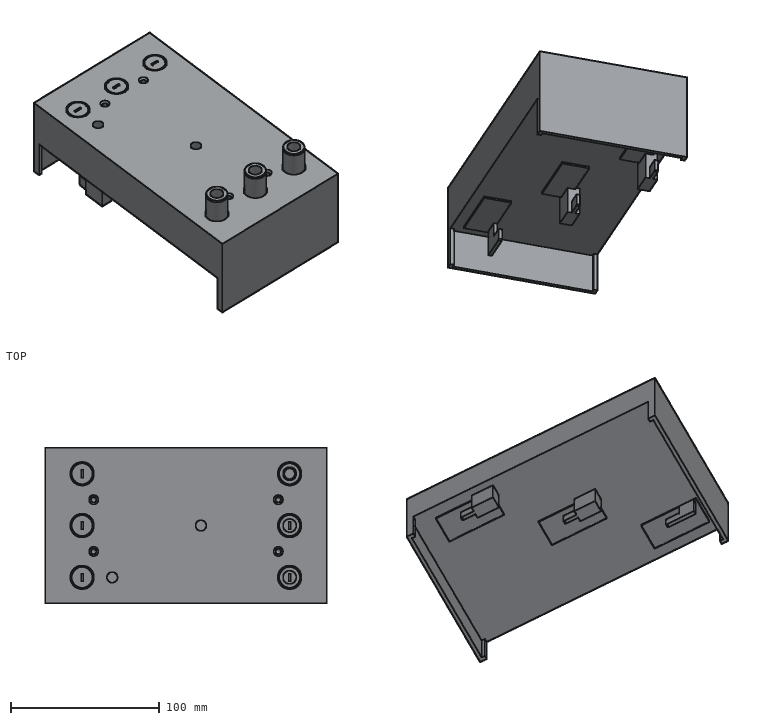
import cadquery as cq

LENGTH = 190.0
WIDTH = 105.0
HEIGHT = 62.7
BODY_THICKNESS = 34.5
UNDERSIDE = HEIGHT - BODY_THICKNESS

END_WALL = 5.1
WALL_RELIEF = 2.5
WALL_RIM = 2.7

ROW_PITCH = 35.0
ROWS = [WIDTH / 2 + step * ROW_PITCH for step in (-1, 0, 1)]
PLUG_X = 24.9
POST_X = 165.0
SEAT_DIAMETER = 16.0
PLUG_DIAMETER = 14.0
POST_DIAMETER = 15.0
GAP_DEPTH = 1.9
POST_HEIGHT = 18.2
POST_TIP_DIAMETER = PLUG_DIAMETER
POST_TIP_HEIGHT = 1.1
POST_BORE = 9.0
SLOT_WIDTH = 1.3
SLOT_LENGTH = 5.1
SLOT_DEPTH = 1.0

SCREW_INSET = 32.7
SCREW_HEAD_DIAMETER = 6.3
SCREW_HOLE_DIAMETER = 3.6
SCREW_HEAD_DEPTH = (SCREW_HEAD_DIAMETER - SCREW_HOLE_DIAMETER) / 2
SCREW_HOLE_DEPTH = 9.5
SCREW_TIP_DEPTH = 1.1

CLAMP_PITCH = 59.8
FIRST_PAD_X = 18.0
PAD_LENGTH = 42.0
FOOT_FROM_ROW = 9.7
PAD_WIDTH = 2 * FOOT_FROM_ROW
PAD_THICKNESS = 1.3
ACCESS_DIAMETER = 7.2
ACCESS_X = POST_X - 2 * CLAMP_PITCH

HOOK_DROP = 20.1
FOOT_HEIGHT = 8.7
FOOT_LENGTH = 10.0
FOOT_CHAMFER = 1.0
FOOT_THICKNESS = 2.5
FIRST_FOOT_X = 37.0
STEM_LENGTHS = (16.3, 16.0, 11.4)
BLOCK_OVERHANG = 3.0


def box(x, y, z, dx, dy, dz):
    """Box with its lowest corner at (x, y, z)."""
    return cq.Workplane("XY").box(dx, dy, dz, centered=False).translate((x, y, z))


def cylinder(x, y, z, diameter, height):
    """Upright cylinder standing on (x, y, z)."""
    return cq.Workplane("XY", origin=(x, y, z)).circle(diameter / 2).extrude(height)


def housing():
    """Block standing on two end walls that are relieved on their inner faces."""
    body = box(0, 0, 0, LENGTH, WIDTH, HEIGHT)
    body = body.cut(box(END_WALL, 0, 0, LENGTH - 2 * END_WALL, WIDTH, UNDERSIDE))
    wall = END_WALL - WALL_RELIEF
    return body.cut(box(wall, WALL_RIM, 0, LENGTH - 2 * wall, WIDTH - 2 * WALL_RIM, UNDERSIDE))


def seat_gap(x, y, inner_diameter):
    """Narrow ring around a plug or post in the top face."""
    floor = HEIGHT - GAP_DEPTH
    core = cylinder(x, y, floor, inner_diameter, GAP_DEPTH)
    return cylinder(x, y, floor, SEAT_DIAMETER, GAP_DEPTH).cut(core)


def screw_slot(x, y):
    """Screwdriver slot sunk from the level of the top face."""
    floor = HEIGHT - SLOT_DEPTH
    return box(x - SLOT_WIDTH / 2, y - SLOT_LENGTH / 2, floor, SLOT_WIDTH, SLOT_LENGTH, SLOT_DEPTH)


def post(y):
    """Tubular post with a steep chamfer around its tip."""
    taper = (POST_DIAMETER - POST_TIP_DIAMETER) / 2
    outer = cylinder(POST_X, y, HEIGHT, POST_DIAMETER, POST_HEIGHT)
    outer = outer.faces(">Z").edges().chamfer(POST_TIP_HEIGHT, taper)
    return outer.cut(cylinder(POST_X, y, HEIGHT, POST_BORE, POST_HEIGHT))


def mounting_hole(x, y):
    """Countersunk blind hole that ends in a conical drill tip."""
    hole_radius = SCREW_HOLE_DIAMETER / 2
    head_floor = HEIGHT - SCREW_HEAD_DEPTH
    hole_floor = HEIGHT - SCREW_HOLE_DEPTH
    profile = [
        (0, HEIGHT),
        (SCREW_HEAD_DIAMETER / 2, HEIGHT),
        (hole_radius, head_floor),
        (hole_radius, hole_floor),
        (0, hole_floor - SCREW_TIP_DEPTH),
    ]
    hole = cq.Workplane("XZ").polyline(profile).close().revolve(360, (0, 0), (0, 1))
    return hole.translate((x, y, 0))


def clamp(index, row):
    """Pad and L-shaped hook below the body; the stem is thickened except on the last one."""
    shift = index * CLAMP_PITCH
    stem_length = STEM_LENGTHS[index]
    foot_x = FIRST_FOOT_X + shift
    stem_x = foot_x + FOOT_LENGTH
    foot_y = row - FOOT_FROM_ROW
    bottom = UNDERSIDE - HOOK_DROP

    pad = box(FIRST_PAD_X + shift, row - PAD_WIDTH / 2, UNDERSIDE - PAD_THICKNESS,
              PAD_LENGTH, PAD_WIDTH, PAD_THICKNESS)
    hook = box(foot_x, foot_y, bottom, FOOT_LENGTH + stem_length, FOOT_THICKNESS, FOOT_HEIGHT)
    hook = hook.edges("|Y and <X and <Z").chamfer(FOOT_CHAMFER)
    overhang = 0 if index == len(ROWS) - 1 else BLOCK_OVERHANG
    stem = box(stem_x, foot_y - overhang, bottom,
               stem_length, FOOT_THICKNESS + 2 * overhang, HOOK_DROP)
    return pad.union(hook).union(stem)


result = housing()

for row in ROWS:
    result = result.union(post(row))
    for terminal_x, diameter in ((PLUG_X, PLUG_DIAMETER), (POST_X, POST_DIAMETER)):
        result = result.cut(seat_gap(terminal_x, row, diameter))
        result = result.cut(screw_slot(terminal_x, row))

for hole_x in (SCREW_INSET, LENGTH - SCREW_INSET):
    for side in (-1, 1):
        result = result.cut(mounting_hole(hole_x, WIDTH / 2 + side * ROW_PITCH / 2))

for index, row in enumerate(ROWS):
    access_x = ACCESS_X + index * CLAMP_PITCH
    result = result.cut(cylinder(access_x, row, UNDERSIDE, ACCESS_DIAMETER, BODY_THICKNESS))
    result = result.union(clamp(index, row))